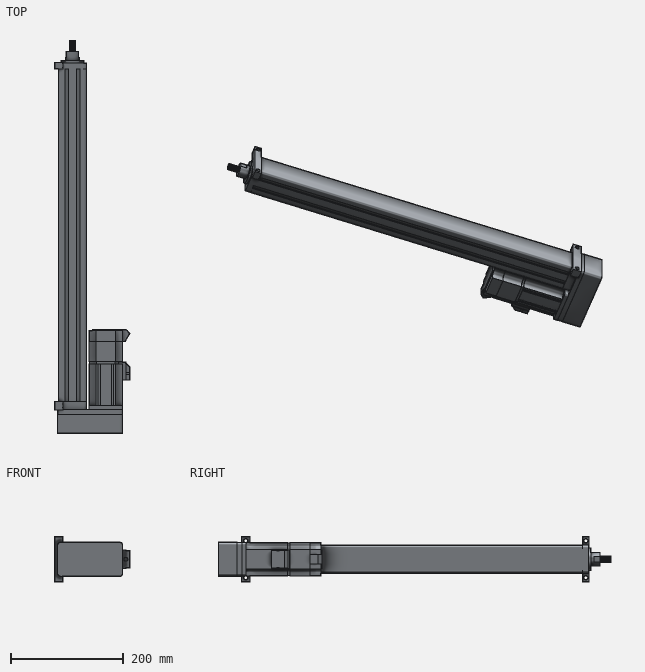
import cadquery as cq


seam_y = 33.5
rear_plate_y = 41.0
housing_front_y = 42.5
tube_rear_y = 56.5
tube_front_y = 647.0
head_y = 657.5
collar_y = 662.0
shoulder_y = 678.5
tip_y = 698.0

tube_half = 25.0
tube_corner = 5.0
slot_width = 6.0
slot_depth = 3.5
slot_spacing = 20.0

plate_left = -31.5
plate_width = 15.0
plate_half_height = 80.0 / 2
front_plate_y = 659.0
plate_hole_diameter = 7.0
plate_hole_z = 33.0
rear_block_half = tube_half + 0.35
front_block_half = tube_half
end_block_corner = 5.5
collar_radius = 20.0

motor_x = 59.0
motor_half = 30.0
motor_corner = 5.0
notch_size = 12.5
notch_fillet = 8.5
notch_inner = motor_half - notch_size
motor_flange_y = 49.5
motor_body_front_y = 123.0
encoder_rear_y = 127.0
encoder_seam_y = 162.5
encoder_front_y = 182.0
motor_front_y = 184.0
motor_cap_half = 24.0
motor_cap_half_height = 16.0
encoder_inset = 0.35
band_inset = 1.05
winding_inset = 0.35
groove_inner = 10.0
groove_outer = 14.0
groove_depth = 3.0

housing_left = -26.5
housing_right = 89.0
housing_half_height = 61.0 / 2
housing_corner = 5.5
base_inset = 0.15

connector_right = 102.0
power_rear_y = 94.0
power_front_y = 126.0
power_base_half = 17.0
plug_left = 95.0
plug_front_y = 123.5
plug_chamfer = 5.5
plug_half = 15.5
plug_groove_y = 106.0
plug_groove_width = 4.0
plug_groove_depth = 1.0
cable_hole_radius = 3.5
cable_hole_depth = 7.0
slant_half = 8.5
slant_rear_x = 93.5
slant_rear_y = encoder_seam_y
slant_tip_y = 177.0
slant_front_x = 95.5

rod_radius = 24.5 / 2
flat_distance = 11.0
flat_length = 11.0
bore_depth = 35.0
thread_radius = 5.5
thread_depth = 1.0
thread_count = 13


def block(x_range, y_range, z_half):
    """Box symmetric about Z = 0."""
    size = (x_range[1] - x_range[0], y_range[1] - y_range[0], 2 * z_half)
    corner = (x_range[0], y_range[0], -z_half)
    return cq.Workplane("XY").box(*size, centered=False).translate(corner)


def rod_cylinder(radius, y_start, y_end):
    """Cylinder on the rod axis."""
    return cq.Workplane("XZ", origin=(0, y_start, 0)).circle(radius).extrude(y_start - y_end)


def make_tube():
    tube = block((-tube_half, tube_half), (tube_rear_y, tube_front_y), tube_half)
    tube = tube.edges("|Y").fillet(tube_corner)
    for side in (-1, 1):
        slot_x = side * slot_spacing / 2
        slot_range = (slot_x - slot_width / 2, slot_x + slot_width / 2)
        slot = block(slot_range, (tube_rear_y, tube_front_y), slot_depth)
        for face_z in (-tube_half, tube_half):
            tube = tube.cut(slot.translate((0, 0, face_z)))
    return tube


def make_end_block(y_start, y_end, half):
    end_block = block((-half, half), (y_start, y_end), half)
    return end_block.edges("|Y").fillet(end_block_corner)


def make_plate(y_start, y_end):
    """Tall mounting plate on the -X side with a cross hole at each end."""
    plate_range = (plate_left, plate_left + plate_width)
    plate = block(plate_range, (y_start, y_end), plate_half_height)
    hole_y = (y_start + y_end) / 2
    holes = (
        cq.Workplane("YZ", origin=(plate_left, 0, 0))
        .pushPoints([(hole_y, -plate_hole_z), (hole_y, plate_hole_z)])
        .circle(plate_hole_diameter / 2)
        .extrude(plate_width)
    )
    return plate.cut(holes)


def make_belt_housing():
    cover = block((housing_left, housing_right), (0, seam_y), housing_half_height)
    base = block(
        (housing_left + base_inset, housing_right - base_inset),
        (seam_y, housing_front_y),
        housing_half_height - base_inset,
    )
    return cover.edges("|Y").fillet(housing_corner).union(base.edges("|Y").fillet(housing_corner))


def motor_section(y_start, y_end, inset=0):
    """Square motor length with a fillet-rooted square notch along each corner."""
    half = motor_half - inset
    section = block((motor_x - half, motor_x + half), (y_start, y_end), half)
    for side_x in (-1, 1):
        for side_z in (-1, 1):
            notch = block((-notch_size, notch_size), (y_start, y_end), notch_size)
            notch = notch.edges("|Y").fillet(notch_fillet)
            section = section.cut(notch.translate((motor_x + side_x * half, 0, side_z * half)))
    return section


def make_winding():
    """Winding section with two lengthwise grooves in its top and in its bottom."""
    y_range = (motor_flange_y, motor_body_front_y)
    winding = motor_section(*y_range, winding_inset)
    face_half = motor_half - winding_inset
    for side in (-1, 1):
        x_range = sorted((motor_x + side * groove_inner, motor_x + side * groove_outer))
        groove = block(x_range, y_range, groove_depth)
        for face_z in (-face_half, face_half):
            winding = winding.cut(groove.translate((0, 0, face_z)))
    return winding


def make_motor():
    flange_range = (motor_x - motor_half, motor_x + motor_half)
    motor = block(flange_range, (housing_front_y, motor_flange_y), motor_half)
    motor = motor.edges("|Y").fillet(motor_corner)
    cap_range = (motor_x - motor_cap_half, motor_x + motor_cap_half)
    sections = [
        make_winding(),
        motor_section(motor_body_front_y, encoder_rear_y, band_inset),
        motor_section(encoder_rear_y, encoder_seam_y),
        motor_section(encoder_seam_y, encoder_front_y, encoder_inset),
        block(cap_range, (encoder_front_y, motor_front_y), motor_cap_half_height),
    ]
    for section in sections:
        motor = motor.union(section)
    return motor


def prism(outline, z_half):
    """Outline in the XY plane extruded symmetrically about Z = 0."""
    return cq.Workplane("XY", origin=(0, 0, -z_half)).polyline(outline).close().extrude(2 * z_half)


def make_power_connector():
    """Base on the motor side, with a chamfered plug that has a cable hole and two cross grooves."""
    base = block((motor_x, plug_left), (power_rear_y, power_front_y), power_base_half)
    plug_outline = [
        (plug_left, power_rear_y),
        (connector_right, power_rear_y),
        (connector_right, plug_front_y - plug_chamfer),
        (connector_right - plug_chamfer, plug_front_y),
        (plug_left, plug_front_y),
    ]
    plug = prism(plug_outline, plug_half)
    for face_z in (-plug_half, plug_half):
        groove_range = (plug_groove_y - plug_groove_width / 2, plug_groove_y + plug_groove_width / 2)
        groove = block((plug_left, connector_right), groove_range, plug_groove_depth)
        plug = plug.cut(groove.translate((0, 0, face_z)))
    cable_hole = (
        cq.Workplane("XZ", origin=(plug_left, power_rear_y, 0))
        .circle(cable_hole_radius)
        .extrude(-cable_hole_depth)
    )
    return base.union(plug).cut(cable_hole)


def make_encoder_connector():
    """Plug slanting back and outward from the front end of the motor."""
    outline = [
        (motor_x, slant_rear_y),
        (slant_rear_x, slant_rear_y),
        (connector_right, slant_tip_y),
        (slant_front_x, motor_front_y),
        (motor_x + notch_inner, motor_front_y),
        (motor_x, encoder_front_y),
    ]
    return prism(outline, slant_half)


def make_rod():
    """Piston rod with two spanner flats and a threaded tip."""
    rod = rod_cylinder(rod_radius, head_y - bore_depth, shoulder_y)
    for side in (-1, 1):
        cutter = block((-rod_radius, rod_radius), (shoulder_y - flat_length, shoulder_y), rod_radius)
        rod = rod.cut(cutter.translate((side * (flat_distance + rod_radius), 0, 0)))
    return rod.union(make_thread())


def make_thread():
    """Ring ridges standing for the thread."""
    pitch = (tip_y - shoulder_y) / thread_count
    outline = [(0, shoulder_y)]
    for ridge in range(thread_count):
        ridge_y = shoulder_y + ridge * pitch
        outline.append((thread_radius - thread_depth, ridge_y))
        outline.append((thread_radius, ridge_y + pitch / 2))
    outline.append((thread_radius - thread_depth, tip_y))
    outline.append((0, tip_y))
    return cq.Workplane("XY").polyline(outline).close().revolve(360, (0, 0, 0), (0, 1, 0))


def make_actuator():
    actuator = make_tube()
    parts = [
        make_end_block(housing_front_y, tube_rear_y, rear_block_half),
        make_end_block(tube_front_y, head_y, front_block_half),
        make_plate(rear_plate_y, tube_rear_y),
        make_plate(tube_front_y, front_plate_y),
        rod_cylinder(collar_radius, head_y, collar_y),
        make_belt_housing(),
        make_motor(),
        make_power_connector(),
        make_encoder_connector(),
    ]
    for part in parts:
        actuator = actuator.union(part)
    return actuator.cut(rod_cylinder(rod_radius, head_y - bore_depth, collar_y))


actuator = make_actuator()
rod = make_rod()
result = cq.Compound.makeCompound([actuator.val(), rod.val()])